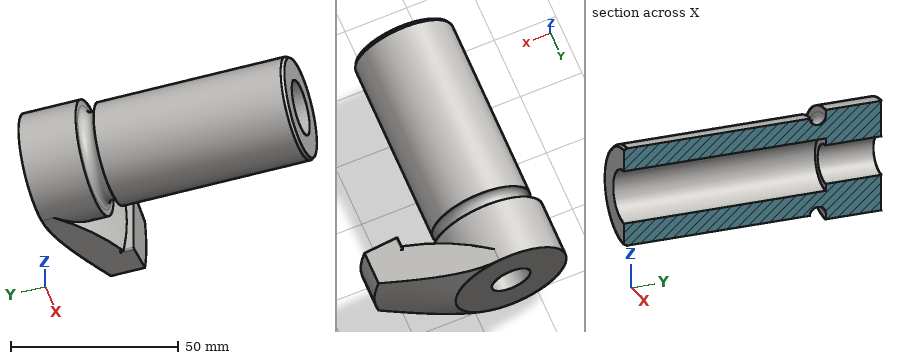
import math

import cadquery as cq


head_radius = 36 / 2
head_length = 18
shank_radius = 32 / 2
neck_length = 5
neck_groove_radius = neck_length / 2
shank_length = 60
end_chamfer_length = 1
end_chamfer_angle = math.radians(30)
end_chamfer_depth = end_chamfer_length * math.tan(end_chamfer_angle)

bolt_hole_diameter = 12.5
shank_bore_diameter = 17

arm_reach = 40
tip_half_width = 10
back_slope = math.radians(25)
belly_radius = 75
belly_center_x = 49.2
belly_center_y = 53.1

pad_start_x = 28
pad_overhang = 3
pad_corner_radius = 0.5
corner_relief_y = -16.75

neck_start_y = -head_length
shank_start_y = neck_start_y - neck_length
end_y = shank_start_y - shank_length
pad_face_y = -(head_length + pad_overhang)

tip_corner_angle = math.asin(tip_half_width / arm_reach)
flank_normal_angle = tip_corner_angle + math.acos(head_radius / arm_reach)
flank_angle = math.pi / 2 - flank_normal_angle
flank_touch_x = head_radius * math.cos(flank_normal_angle)
flank_touch_z = head_radius * math.sin(flank_normal_angle)


def flank_z(x):
    """Half width of the arm at a given distance from the clamp axis."""
    return flank_touch_z - (x - flank_touch_x) * math.tan(flank_angle)


def prism(outline, start_y, stop_y):
    """Extrude an outline of the XZ plane placed at start_y down to stop_y."""
    return outline.extrude(start_y - stop_y).translate((0, start_y, 0))


def revolve_about_y(profile):
    return profile.close().revolve(360, (0, 0, 0), (0, 1, 0))


def make_head_and_shank():
    profile = (
        cq.Workplane("XY")
        .moveTo(0, 0)
        .lineTo(head_radius, 0)
        .lineTo(head_radius, neck_start_y)
        .lineTo(shank_radius, neck_start_y)
        .threePointArc(
            (shank_radius - neck_groove_radius, neck_start_y - neck_length / 2),
            (shank_radius, shank_start_y),
        )
        .lineTo(shank_radius, end_y + end_chamfer_length)
        .lineTo(shank_radius - end_chamfer_depth, end_y)
        .lineTo(0, end_y)
    )
    return revolve_about_y(profile)


def make_arm():
    """Tapered arm with a conical back, a spherical belly and a flat pad."""
    planform = cq.Workplane("XZ").polyline(
        [
            (flank_touch_x, flank_touch_z),
            (arm_reach, flank_z(arm_reach)),
            (arm_reach, -flank_z(arm_reach)),
            (flank_touch_x, -flank_touch_z),
        ]
    ).close()
    wedge = prism(planform, 0, pad_face_y)

    back_drop = (arm_reach - head_radius) * math.tan(back_slope)
    envelope = revolve_about_y(
        cq.Workplane("XY")
        .moveTo(0, 0)
        .lineTo(head_radius, 0)
        .lineTo(arm_reach, -back_drop)
        .lineTo(arm_reach, pad_face_y)
        .lineTo(0, pad_face_y)
    )
    blank = wedge.intersect(envelope)

    belly = cq.Workplane("XY").sphere(belly_radius).translate((belly_center_x, belly_center_y, 0))
    pad_zone = cq.Workplane("XY").box(
        arm_reach, -pad_face_y, 2 * head_radius, centered=(False, False, True)
    ).translate((pad_start_x, pad_face_y, 0))
    return blank.intersect(belly).union(blank.intersect(pad_zone))


def make_corner_relief():
    """Material outside the rounded corner between pad wall and upper flank."""
    corner_half_angle = (math.pi / 2 - flank_angle) / 2
    tangent_length = pad_corner_radius / math.tan(corner_half_angle)
    corner_z = flank_z(pad_start_x)
    wall_end_z = corner_z - tangent_length
    flank_end_x = pad_start_x + tangent_length * math.cos(flank_angle)
    center_x = pad_start_x + pad_corner_radius
    middle_angle = math.pi - (math.pi / 2 + flank_angle) / 2
    arc_middle = (
        center_x + pad_corner_radius * math.cos(middle_angle),
        wall_end_z + pad_corner_radius * math.sin(middle_angle),
    )
    outline = (
        cq.Workplane("XZ")
        .moveTo(pad_start_x, wall_end_z)
        .threePointArc(arc_middle, (flank_end_x, flank_z(flank_end_x)))
        .lineTo(flank_end_x, corner_z)
        .lineTo(pad_start_x, corner_z)
        .close()
    )
    return prism(outline, corner_relief_y, pad_face_y)


def make_bore():
    bolt_hole = prism(cq.Workplane("XZ").circle(bolt_hole_diameter / 2), 0, end_y)
    shank_bore = prism(cq.Workplane("XZ").circle(shank_bore_diameter / 2), neck_start_y, end_y)
    return bolt_hole.union(shank_bore)


upper_relief = make_corner_relief()
lower_relief = upper_relief.mirror("XY")
arm = make_arm().cut(upper_relief).cut(lower_relief)
result = make_head_and_shank().union(arm).cut(make_bore())